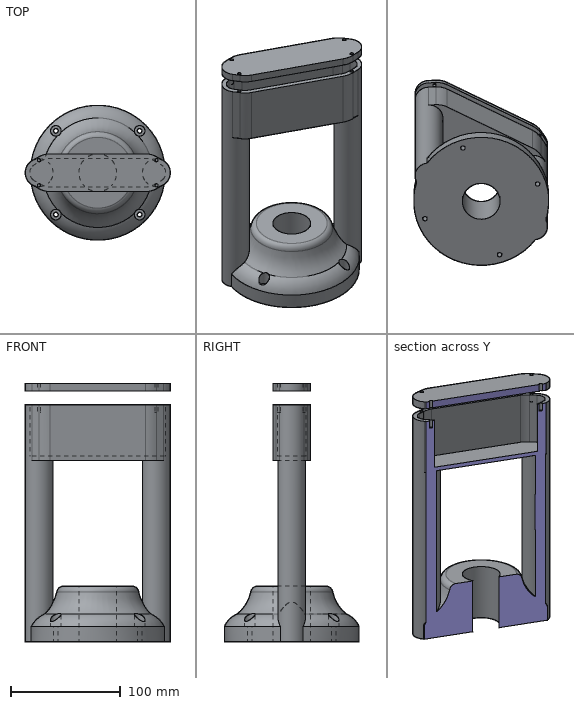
import cadquery as cq
import math

total_height = 235.0
cap_thickness = 7.0
frame_top = 215.7
head_height = 50.7

outer_length = 132.0
leg_diameter = 25.4
leg_radius = leg_diameter / 2
leg_x = outer_length / 2 - leg_radius
head_half_depth = 17.2
head_flat_half_length = 43.5
shoulder_radius = 20.5
head_wall = 4.2

cap_screw_diameter = 2.8
cap_screw_x = 53.5
cap_screw_y = 11.5
cap_screw_depth = 7.0

base_radius = 122.9 / 2
rim_height = 13.9
flare_radius = 49.8
flare_height = 25.4
neck_radius = 37.4
neck_height = 45.3
base_top_radius = 32.2
base_height = 50.7
rim_arc_mid = (56.6, 21.0)
flare_arc_mid = (41.8, 34.3)
neck_arc_mid = (35.7, 48.9)
bore_diameter = 34.3

mount_hole_diameter = 4.0
mount_counterbore_diameter = 9.6
mount_offset = 38.0


def head_outline(z, rounded_ends=True):
    """Leg arcs at both ends, joined to the long flats by tangent lines and shoulder arcs.

    Without rounded ends, a straight chord across the leg closes each end.
    """
    dx = leg_x - head_flat_half_length
    dy = shoulder_radius - head_half_depth
    lean = math.atan2(dx, dy) - math.acos((shoulder_radius - leg_radius) / math.hypot(dx, dy))

    def shoulder_point(angle):
        x = head_flat_half_length + shoulder_radius * math.sin(angle)
        y = head_half_depth - shoulder_radius * (1 - math.cos(angle))
        return x, y

    flat_end = shoulder_point(0)
    shoulder_mid = shoulder_point(lean / 2)
    shoulder_end = shoulder_point(lean)
    leg_tangent = (leg_x + leg_radius * math.sin(lean), leg_radius * math.cos(lean))
    leg_tip = (leg_x + leg_radius, 0)

    def at(point, sx, sy):
        return point[0] * sx, point[1] * sy

    def outline_end(outline, side):
        """One flat, then the clockwise turn around the end on the given side."""
        outline = (
            outline.lineTo(*at(flat_end, side, side))
            .threePointArc(at(shoulder_mid, side, side), at(shoulder_end, side, side))
            .lineTo(*at(leg_tangent, side, side))
        )
        if rounded_ends:
            outline = outline.threePointArc(at(leg_tip, side, side), at(leg_tangent, side, -side))
        else:
            outline = outline.lineTo(*at(leg_tangent, side, -side))
        return (
            outline.lineTo(*at(shoulder_end, side, -side))
            .threePointArc(at(shoulder_mid, side, -side), at(flat_end, side, -side))
        )

    outline = cq.Workplane("XY", origin=(0, 0, z)).moveTo(*at(flat_end, -1, 1))
    for side in (1, -1):
        outline = outline_end(outline, side)
    return outline.close()


def four_corners(x, y, z, diameter, height):
    """Four vertical cylinders, mirrored about both axes, rising from z."""
    return (
        cq.Workplane("XY", origin=(0, 0, z))
        .rect(2 * x, 2 * y, forConstruction=True)
        .vertices()
        .circle(diameter / 2)
        .extrude(height)
    )


def make_base():
    """Flared round foot."""
    return (
        cq.Workplane("XZ")
        .moveTo(0, 0)
        .lineTo(base_radius, 0)
        .lineTo(base_radius, rim_height)
        .threePointArc(rim_arc_mid, (flare_radius, flare_height))
        .threePointArc(flare_arc_mid, (neck_radius, neck_height))
        .threePointArc(neck_arc_mid, (base_top_radius, base_height))
        .lineTo(0, base_height)
        .close()
        .revolve(360, (0, 0, 0), (0, 1, 0))
    )


def make_frame():
    """Base, two legs and hollow head in one piece."""
    legs = (
        cq.Workplane("XY")
        .pushPoints([(-leg_x, 0), (leg_x, 0)])
        .circle(leg_radius)
        .extrude(frame_top)
    )
    head_bottom = frame_top - head_height

    head = head_outline(head_bottom, rounded_ends=False).extrude(head_height)
    frame = make_base().union(legs).union(head)

    pocket = (
        head_outline(head_bottom + head_wall)
        .offset2D(-head_wall)
        .extrude(head_height - head_wall)
    )
    screw_holes = four_corners(
        cap_screw_x, cap_screw_y, frame_top - cap_screw_depth, cap_screw_diameter, cap_screw_depth
    )

    bore = cq.Workplane("XY").circle(bore_diameter / 2).extrude(base_height)
    mount_holes = four_corners(mount_offset, mount_offset, 0, mount_hole_diameter, rim_height)
    counterbores = four_corners(
        mount_offset, mount_offset, rim_height, mount_counterbore_diameter, base_height - rim_height
    )
    return frame.cut(pocket).cut(screw_holes).cut(bore).cut(mount_holes).cut(counterbores)


def make_cap():
    """Flat lid held above the head, with through screw holes."""
    cap_bottom = total_height - cap_thickness
    screw_holes = four_corners(cap_screw_x, cap_screw_y, cap_bottom, cap_screw_diameter, cap_thickness)
    return head_outline(cap_bottom).extrude(cap_thickness).cut(screw_holes)


frame = make_frame()
cap = make_cap()

result = cq.Compound.makeCompound([frame.val(), cap.val()])